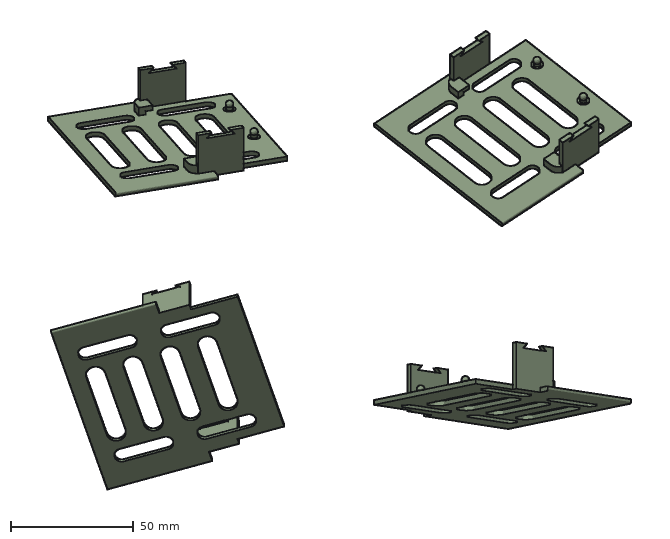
import cadquery as cq

plate_length = 78.0
plate_thickness = 2.0
wide_width = 78.0
wide_length = 45.0
narrow_width = 63.95
side_edge_radius = 0.8

cross_slot_length = 36.0
cross_slot_width = 8.0
cross_slot_pitch = 16.0
cross_slot_count = 4
first_cross_slot_y = 11.5

long_slot_length = 25.0
long_slot_width = 6.0
long_slot_x = 25.0
long_slot_ys = (20.0, 55.5)

wall_thickness = 2.3
wall_length = 20.05
wall_height = 19.5
wall_front_y = 37.9
wall_outer_x = narrow_width / 2 + wall_thickness
wall_center_y = wall_front_y + wall_length / 2

notch_depth = 2.0
notch_top_width = 8.0
notch_floor_width = notch_top_width + 2 * notch_depth

block_inner_x = 25.9
block_front_y = 34.95
block_length = 6.1
block_top_z = 5.7
block_corner_radius = 4.2
undercut_length = 3.0
undercut_height = 1.5

pin_diameter = 3.0
ball_diameter = 3.3
pin_top_z = 5.8
pin_y = 72.0
pin_xs = (-18.6, 9.5)
pin_recess_diameter = 5.0
pin_recess_depth = 0.1


def box_between(x_range, y_range, z_range):
    """Box spanning the given (low, high) ranges."""
    corners = (x_range, y_range, z_range)
    sizes = [high - low for low, high in corners]
    low_corner = tuple(low for low, high in corners)
    return cq.Workplane("XY").box(*sizes, centered=False).translate(low_corner)


def make_plate():
    wide = box_between((-wide_width / 2, wide_width / 2), (0, wide_length), (0, plate_thickness))
    wide = wide.edges("|Y").fillet(side_edge_radius)
    narrow = box_between((-narrow_width / 2, narrow_width / 2), (0, plate_length), (0, plate_thickness))
    return wide.union(narrow)


def make_slots():
    cross_points = [
        (0, first_cross_slot_y + row * cross_slot_pitch) for row in range(cross_slot_count)
    ]
    long_points = [(side * long_slot_x, y) for side in (-1, 1) for y in long_slot_ys]
    cross_slots = (
        cq.Workplane("XY")
        .pushPoints(cross_points)
        .slot2D(cross_slot_length, cross_slot_width)
        .extrude(plate_thickness)
    )
    long_slots = (
        cq.Workplane("XY")
        .pushPoints(long_points)
        .slot2D(long_slot_length, long_slot_width, angle=90)
        .extrude(plate_thickness)
    )
    return cross_slots.union(long_slots)


def make_right_wall():
    wall = box_between(
        (narrow_width / 2, wall_outer_x),
        (wall_front_y, wall_front_y + wall_length),
        (0, wall_height),
    )
    notch = (
        cq.Workplane("YZ", origin=(narrow_width / 2, wall_center_y, wall_height))
        .moveTo(-notch_top_width / 2, 0)
        .lineTo(notch_top_width / 2, 0)
        .lineTo(notch_floor_width / 2, -notch_depth)
        .lineTo(-notch_floor_width / 2, -notch_depth)
        .close()
        .extrude(wall_thickness)
    )
    return wall.cut(notch)


def make_right_block():
    """Block with a rounded outer front corner and an undercut along its rear."""
    block_back_y = block_front_y + block_length
    block = box_between(
        (block_inner_x, wall_outer_x), (block_front_y, block_back_y), (0, block_top_z)
    )
    block = block.edges("|Z and >X and <Y").fillet(block_corner_radius)
    undercut = box_between(
        (block_inner_x, narrow_width / 2),
        (block_back_y - undercut_length, block_back_y),
        (0, plate_thickness + undercut_height),
    )
    return block.cut(undercut)


def make_pin_recess(x):
    """Shallow round recess in the plate around one pin."""
    recess = cq.Workplane("XY").circle(pin_recess_diameter / 2).extrude(pin_recess_depth)
    return recess.translate((x, pin_y, plate_thickness - pin_recess_depth))


def make_pin(x):
    """Cylindrical stem with a ball on top."""
    ball_center_z = pin_top_z - ball_diameter / 2
    stem = cq.Workplane("XY").circle(pin_diameter / 2).extrude(ball_center_z)
    ball = cq.Workplane("XY").sphere(ball_diameter / 2).translate((0, 0, ball_center_z))
    return stem.union(ball).translate((x, pin_y, 0))


result = make_plate().cut(make_slots())

right_clip = make_right_wall().union(make_right_block())
result = result.union(right_clip).union(right_clip.mirror("YZ"))

for pin_x in pin_xs:
    result = result.cut(make_pin_recess(pin_x)).union(make_pin(pin_x))